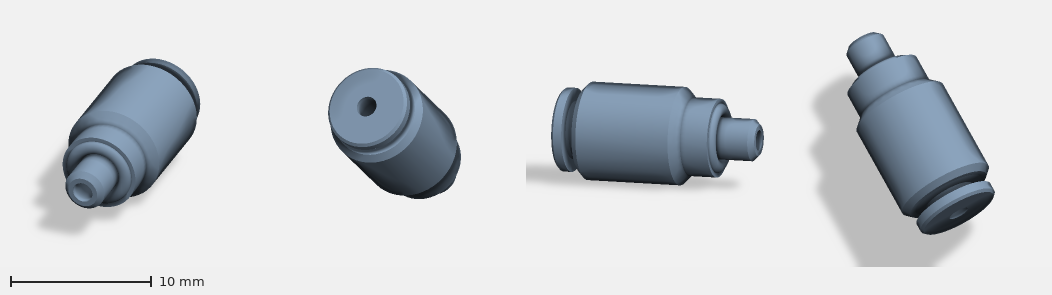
import cadquery as cq
import math

length = 14.6
tip_y = -length / 2
collar_y = length / 2

bore_radius = 0.75
stem_radius = 1.5
stem_chamfer = 0.4
shoulder_radius = 2.8
body_radius = 3.5
neck_radius = 1.87
collar_radius = 3.0

shoulder_y = tip_y + 3.0
shoulder_length = 2.0
lower_chamfer = body_radius - shoulder_radius
body_start_y = shoulder_y + shoulder_length

ring_section_radius = 0.5
ring_seat_depth = 0.1
ring_center_radius = stem_radius + ring_section_radius
ring_front_y = shoulder_y + ring_seat_depth - ring_section_radius
ring_half_width = math.sqrt(ring_section_radius**2 - ring_seat_depth**2)

body_top_y = collar_y - 1.59
body_top_chamfer = 0.44
top_cone_radius = 2.63
top_cone_height = 0.13

collar_thickness = 0.8
collar_chamfer = 0.19
flare = 0.19
collar_under_y = collar_y - collar_thickness


def turned_body():
    """Revolve the outer half profile, given as (radius, y), about the Y axis."""
    profile = (
        cq.Workplane("XY")
        .moveTo(0, tip_y)
        .lineTo(stem_radius - stem_chamfer, tip_y)
        .lineTo(stem_radius, tip_y + stem_chamfer)
        .lineTo(stem_radius, shoulder_y)
        .lineTo(ring_center_radius - ring_half_width, shoulder_y)
        .threePointArc(
            (ring_center_radius, ring_front_y),
            (ring_center_radius + ring_half_width, shoulder_y),
        )
        .lineTo(shoulder_radius, shoulder_y)
        .lineTo(shoulder_radius, body_start_y)
        .lineTo(body_radius, body_start_y + lower_chamfer)
        .lineTo(body_radius, body_top_y - body_top_chamfer)
        .lineTo(body_radius - body_top_chamfer, body_top_y)
        .lineTo(top_cone_radius, body_top_y)
        .lineTo(neck_radius, body_top_y + top_cone_height)
        .lineTo(neck_radius, collar_under_y - flare)
        .lineTo(neck_radius + flare, collar_under_y)
        .lineTo(collar_radius, collar_under_y)
        .lineTo(collar_radius, collar_y - collar_chamfer)
        .lineTo(collar_radius - collar_chamfer, collar_y)
        .lineTo(0, collar_y)
        .close()
    )
    return profile.revolve(360, (0, 0, 0), (0, 1, 0))


def through_bore():
    """Straight bore along the whole axis."""
    return cq.Workplane("XZ", origin=(0, collar_y, 0)).circle(bore_radius).extrude(length)


result = turned_body().cut(through_bore())